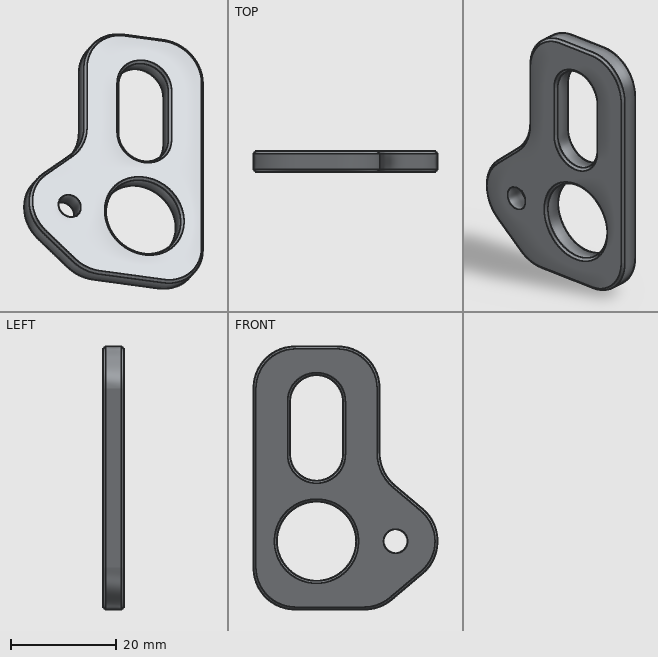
import cadquery as cq
import math

body_width = 24.0
body_height = 50.0
thickness = 4.0
corner_radius = 8.0
edge_chamfer = 0.5

bore_diameter = 15.0
bore_x = body_width / 2
bore_z = 13.0
slot_width = 10.0
slot_length = 20.0
slot_x = body_width / 2
slot_z = 34.5

pin_diameter = 4.5
pin_x = 27.0
pin_z = bore_z

ear_half_height = pin_z
flank_start_distance = math.hypot(pin_x - body_width, ear_half_height)
flank_angle = math.atan2(ear_half_height, pin_x - body_width) - math.asin(corner_radius / flank_start_distance)
ear_apex_x = body_width + ear_half_height / math.tan(flank_angle)


def make_plate():
    """Plate with the ear, every corner rounded."""
    outline = [
        (0, 0),
        (body_width, 0),
        (ear_apex_x, pin_z),
        (body_width, pin_z + ear_half_height),
        (body_width, body_height),
        (0, body_height),
    ]
    plate = cq.Workplane("XZ").polyline(outline).close().extrude(-thickness)
    return plate.edges("|Y").fillet(corner_radius)


def make_bore():
    """Cutter for the large round hole."""
    return cq.Workplane("XZ").center(bore_x, bore_z).circle(bore_diameter / 2).extrude(-thickness)


def make_slot():
    """Cutter for the upright slot."""
    return cq.Workplane("XZ").center(slot_x, slot_z).slot2D(slot_length, slot_width, 90).extrude(-thickness)


def make_pin_hole():
    """Cutter for the small plain hole in the ear."""
    return cq.Workplane("XZ").center(pin_x, pin_z).circle(pin_diameter / 2).extrude(-thickness)


result = make_plate().cut(make_bore()).cut(make_slot())
result = result.faces("<Y or >Y").chamfer(edge_chamfer)
result = result.cut(make_pin_hole())